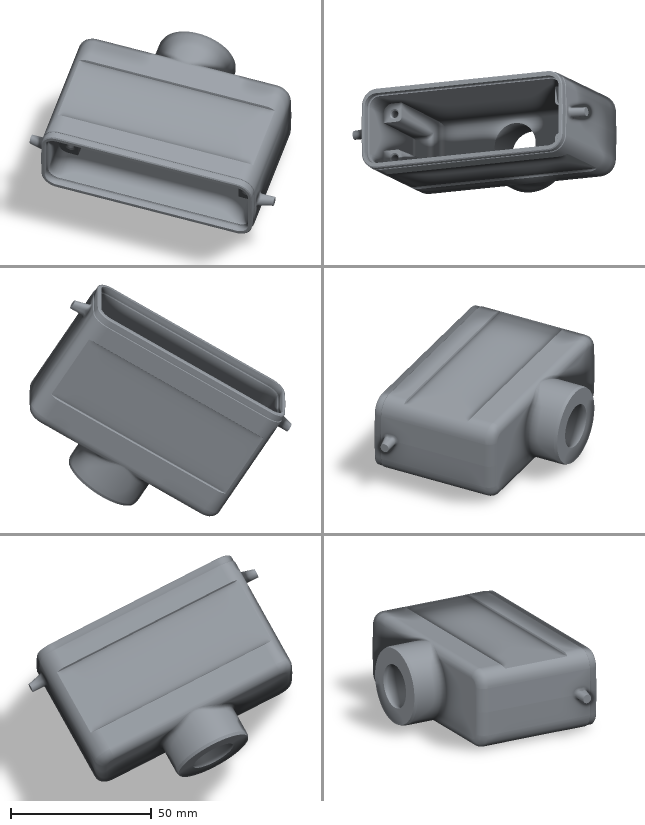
import cadquery as cq
import math


body_half_x = 39.8
body_half_z = 14.7
body_end_y = 48.0
wall = 2.5
draft_angle = 1.5
corner_radius = 6.0
back_edge_radius = 3.3

rim_length = 2.7
rim_step = 0.3
rim_chamfer = 0.4
rim_overlap = 0.9
shell_edge_chamfer = 0.2

neck_diameter = 28.85
neck_end_y = 60.3
neck_chamfer = 1.1
neck_chamfer_inset = 0.4
neck_flare_radius = 1.0
cable_hole_diameter = 16.1

label_start_y = 10.6
label_end_y = 35.9
label_depth = 0.8
label_wall_slope = 0.4

seal_half_x = 38.0
seal_half_z = 12.7
seal_depth = 2.7
seal_chamfer = 0.3
chamber_half_x = 37.5
chamber_half_z = body_half_z - wall
chamber_corner_radius = 3.8
chamber_floor_y = body_end_y - wall
chamber_floor_radius = 1.8

post_face_y = 14.1
post_face_x = 30.0
post_gap_half_z = 5.1
post_corner_radius = 1.8
ledge_y = 38.2
ledge_root_radius = 0.9
screw_x = 32.9
screw_z = 8.0
screw_diameter = 2.6
screw_mouth_diameter = 3.55
screw_depth = 9.1

pin_tip_x = 45.5
pin_diameter = 3.2
pin_y = 7.5
pin_base_stretch = 1.9
pin_tip_stretch = 0.05
pin_flare_radius = 0.8


def prism(outline, start_y, length, taper=0):
    """Extrude an XZ outline towards +Y."""
    return outline.extrude(-length, taper=taper).translate((0, start_y, 0))


def box_prism(half_x, half_z, start_y, length, taper=0):
    outline = cq.Workplane("XZ").rect(2 * half_x, 2 * half_z)
    return prism(outline, start_y, length, taper)


def drafted_block(inset, start_y, end_y):
    """Rounded block whose end walls lean inwards from the parting line Z = 0."""
    half_x = body_half_x - inset
    half_z = body_half_z - inset
    corner_x = half_x - half_z * math.tan(math.radians(draft_angle))
    outline = cq.Workplane("XZ").polyline([
        (half_x, 0),
        (corner_x, half_z),
        (-corner_x, half_z),
        (-half_x, 0),
        (-corner_x, -half_z),
        (corner_x, -half_z),
    ]).close()
    block = prism(outline, start_y, end_y - start_y)
    return block.edges("|Y and (>Z or <Z)").fillet(corner_radius - inset)


def make_shell():
    shell = drafted_block(0, rim_length, body_end_y)
    shell = shell.faces("<Y").edges().chamfer(shell_edge_chamfer)
    return shell.faces(">Y").edges().fillet(back_edge_radius)


def make_rim():
    rim = drafted_block(rim_step, 0, rim_length + rim_overlap)
    return rim.faces("<Y").edges().chamfer(rim_chamfer)


def make_neck():
    root_y = body_end_y - 2 * back_edge_radius
    neck = prism(cq.Workplane("XZ").circle(neck_diameter / 2), root_y, neck_end_y - root_y)
    return neck.faces(">Y").edges().chamfer(neck_chamfer, neck_chamfer_inset)


def flare_neck_root(body):
    """Round the seam where the neck runs into the back face and its rounded edges."""
    reach = neck_diameter / 2
    seam = body.edges(cq.selectors.BoxSelector(
        (-reach, body_end_y - back_edge_radius / 2, -reach),
        (reach, body_end_y + back_edge_radius / 2, reach),
    ))
    return seam.fillet(neck_flare_radius)


def make_pin(side):
    """Round pin whose root stretches towards the mouth; side is +1 or -1."""
    root_x = body_half_x - wall / 2

    def slot(x, stretch):
        centre = cq.Vector(side * x, pin_y - stretch / 2, 0)
        plane = cq.Plane(origin=centre, xDir=(0, 1, 0), normal=(1, 0, 0))
        return cq.Workplane(plane).slot2D(pin_diameter + stretch, pin_diameter).wires().val()

    root = slot(root_x, pin_base_stretch)
    tip = slot(pin_tip_x, pin_tip_stretch)
    return cq.Workplane(cq.Solid.makeLoft([root, tip], True))


def flare_pin_root(body, side):
    """Round the seam between a pin and its end wall."""
    reach = pin_diameter / 2 + pin_base_stretch
    seam_x = sorted((side * (body_half_x - rim_step), side * (body_half_x + rim_step)))
    seam = body.edges(cq.selectors.BoxSelector(
        (seam_x[0], pin_y - reach, -reach), (seam_x[1], pin_y + reach, reach)
    ))
    return seam.fillet(pin_flare_radius)


def make_label_recess(side):
    """Slab with sloped ends that cuts one broad face; side is +1 or -1."""
    floor_z = side * (body_half_z - label_depth)
    face_z = side * body_half_z
    outline = cq.Workplane("YZ").polyline([
        (label_start_y, floor_z),
        (label_start_y - label_wall_slope, face_z),
        (label_end_y + label_wall_slope, face_z),
        (label_end_y, floor_z),
    ]).close()
    return outline.extrude(body_half_x, both=True)


def make_post_pair():
    """Solid filling the +X end of the chamber: two posts with a gap down to the ledge."""
    outer_x = body_half_x
    lean = (chamber_floor_y - post_face_y) * math.tan(math.radians(draft_angle))
    floor_x = post_face_x - lean
    posts = cq.Workplane("XY").polyline([
        (post_face_x, post_face_y),
        (outer_x, post_face_y),
        (outer_x, body_end_y),
        (floor_x, body_end_y),
        (floor_x, chamber_floor_y),
    ]).close().extrude(body_half_z, both=True)

    gap = box_prism(2 * body_half_x, post_gap_half_z, post_face_y, ledge_y - post_face_y, draft_angle)
    posts = posts.cut(gap)

    gap_middle_y = (post_face_y + ledge_y) / 2
    gap_corners = posts.edges(cq.selectors.BoxSelector(
        (floor_x, gap_middle_y - 0.9, -body_half_z / 2), (post_face_x, ledge_y + 0.9, body_half_z / 2)
    ))
    return gap_corners.fillet(post_corner_radius)


def round_ledge_roots(chamber, side):
    """Round the three lower edges of a post gap; side is +1 or -1."""
    inner_x = post_face_x + post_corner_radius
    ends_x = sorted((side * inner_x, side * body_half_x))
    roots = chamber.edges(cq.selectors.BoxSelector(
        (ends_x[0], ledge_y - 0.1, -post_gap_half_z), (ends_x[1], ledge_y + 0.1, post_gap_half_z)
    ))
    return roots.fillet(ledge_root_radius)


def make_cavity():
    seal_seat = box_prism(seal_half_x, seal_half_z, 0, seal_depth)
    seal_seat = seal_seat.edges("|Y").fillet(chamber_corner_radius + seal_half_x - chamber_half_x)
    seal_seat = seal_seat.faces(">Y").edges().chamfer(seal_chamfer)

    mouth = cq.Sketch().rect(2 * chamber_half_x, 2 * chamber_half_z)
    mouth = mouth.vertices().fillet(chamber_corner_radius)
    chamber = prism(cq.Workplane("XZ").placeSketch(mouth), 0, chamber_floor_y, draft_angle)

    posts = make_post_pair()
    chamber = chamber.cut(posts).cut(posts.mirror("YZ"))
    chamber = chamber.faces(">Y").edges().fillet(chamber_floor_radius)
    for side in (-1, 1):
        chamber = round_ledge_roots(chamber, side)
    return seal_seat.union(chamber)


def make_screw_hole(x, z):
    drill = prism(cq.Workplane("XZ").circle(screw_diameter / 2), post_face_y, screw_depth)
    mouth_depth = (screw_mouth_diameter - screw_diameter) / 2
    mouth = cq.Solid.makeCone(
        screw_mouth_diameter / 2, screw_diameter / 2, mouth_depth,
        pnt=cq.Vector(0, post_face_y, 0), dir=cq.Vector(0, 1, 0),
    )
    return drill.union(cq.Workplane(mouth)).translate((x, 0, z))


body = flare_neck_root(make_shell().union(make_neck()))
for side in (-1, 1):
    body = body.union(make_pin(side))
    body = flare_pin_root(body, side)
    body = body.cut(make_label_recess(side))
body = body.union(make_rim())

body = body.cut(make_cavity())
body = body.cut(prism(cq.Workplane("XZ").circle(cable_hole_diameter / 2), 0, neck_end_y))
for x in (-screw_x, screw_x):
    for z in (-screw_z, screw_z):
        body = body.cut(make_screw_hole(x, z))

result = body